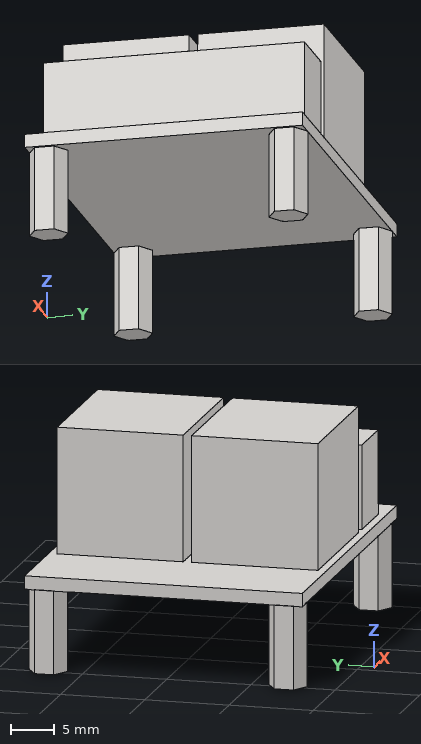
import cadquery as cq
import math

board_length = 43.2
board_width = 33.0
board_thickness = 1.6

standoff_height = 10.0
standoff_across_flats = 4.0
standoff_left_margin = 2.25
standoff_pitch_x = 38.6
standoff_pitch_y = 28.45

relay_length = 18.5
relay_width = 15.0
relay_height = 15.0
relay_left_margin = 11.0
terminal_length = 7.6
terminal_height = 10.0
relay_to_terminal_gap = 1.4
side_margin = 1.0

board_bottom = standoff_height
board_top = board_bottom + board_thickness

left_standoff_x = -board_length / 2 + standoff_left_margin
component_span = board_width - 2 * side_margin
relay_center_x = -board_length / 2 + relay_left_margin + relay_length / 2
relay_offset_y = (component_span - relay_width) / 2
terminal_center_x = relay_center_x + (relay_length + terminal_length) / 2 + relay_to_terminal_gap


def make_block(length, width, height, center_x, center_y, bottom):
    """Plain box standing on the given level."""
    block = cq.Workplane("XY").box(length, width, height, centered=(True, True, False))
    return block.translate((center_x, center_y, bottom))


def make_standoff(center_x, center_y):
    """Hexagonal post from the ground up to the underside of the board."""
    across_corners = standoff_across_flats / math.cos(math.pi / 6)
    post = cq.Workplane("XY").polygon(6, across_corners).extrude(standoff_height)
    post = post.rotate((0, 0, 0), (0, 0, 1), 90)
    return post.translate((center_x, center_y, 0))


board = make_block(board_length, board_width, board_thickness, 0, 0, board_bottom)

relays = []
for side in (-1, 1):
    relay = make_block(
        relay_length, relay_width, relay_height,
        relay_center_x, side * relay_offset_y, board_top,
    )
    relays.append(relay)

terminal_block = make_block(
    terminal_length, component_span, terminal_height,
    terminal_center_x, 0, board_top,
)

standoffs = []
for standoff_x in (left_standoff_x, left_standoff_x + standoff_pitch_x):
    for side in (-1, 1):
        standoffs.append(make_standoff(standoff_x, side * standoff_pitch_y / 2))

result = cq.Compound.makeCompound([
    board.val(),
    *[relay.val() for relay in relays],
    terminal_block.val(),
    *[standoff.val() for standoff in standoffs],
])